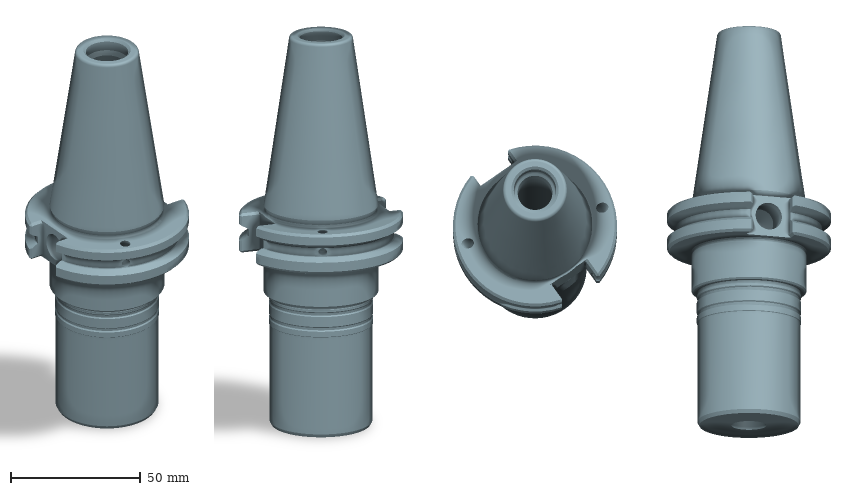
import cadquery as cq
import math

TOTAL_HEIGHT = 156.8
GAUGE_Z = 88.5
TAPER_NECK_Z = 86.6
FLANGE_TOP_Z = 85.5
FLANGE_THICKNESS = 15.8
COLLAR_NECK_Z = 69
COLLAR_NECK_BASE_Z = 68.5
COLLAR_TOP_Z = 67.9
COLLAR_BOTTOM_Z = 53.0
BAND_TOP_Z = 51.9
BAND_BOTTOM_Z = 40.6

TAPER_PER_LENGTH = 7 / 24
GAUGE_DIAMETER = 44.4
TAPER_NECK_DIAMETER = 43.3
TAPER_TIP_FILLET = 1.3

FLANGE_DIAMETER = 63.5
FLANGE_CHAMFER = 1.0
GROOVE_DIAMETER = 56.5
GROOVE_FLOOR_WIDTH = 3.3
GROOVE_SHELF_WIDTH = 0.8
GROOVE_HALF_ANGLE = 30
SLOT_WIDTH = 16.2
FRONT_SLOT_FLOOR = 25.0
BACK_SLOT_FLOOR = 22.5
SLOT_CORNER_FILLET = 0.5
DRILLING_DIAMETER = 10.7
DRILLING_DEPTH = 11
DRILLING_TIP_ANGLE = 118

COLLAR_DIAMETER = 44.5
COLLAR_NECK_DIAMETER = 43.8
COLLAR_CHAMFER = 0.6
BODY_DIAMETER = 40.0
BODY_CHAMFER_RADIAL = 0.8
BODY_CHAMFER_HEIGHT = 1.4
BAND_DIAMETER = 40.5
RING_GROOVE_DIAMETER = 39.5
UPPER_RING_GROOVE = (49.0, 50.8)
LOWER_RING_GROOVE = (43.0, 44.9)

BORE_DIAMETER = 13.5
COUNTERBORE_DIAMETER = 16.5
COUNTERBORE_DEPTH = 4.7
COUNTERBORE_CHAMFER = 1.0

COOLANT_HOLE_DIAMETER = 3.9
COOLANT_HOLE_TILT = 35
COOLANT_HOLE_RADIUS = 27.0
CROSS_HOLE_DIAMETER = 3.3
COOLANT_ANGLES = (160, 340)

FLANGE_BOTTOM_Z = FLANGE_TOP_Z - FLANGE_THICKNESS
GROOVE_CENTER_Z = FLANGE_TOP_Z - FLANGE_THICKNESS / 2


def revolve_profile(points):
    """Turn a closed outline of (radius, height) points about the Z axis."""
    return cq.Workplane("XZ").polyline(points).close().revolve(360, (0, 0), (0, 1))


def make_taper():
    gauge_radius = GAUGE_DIAMETER / 2
    tip_radius = gauge_radius - (TOTAL_HEIGHT - GAUGE_Z) * TAPER_PER_LENGTH / 2
    neck_radius = TAPER_NECK_DIAMETER / 2
    foot_radius = neck_radius + TAPER_NECK_Z - FLANGE_TOP_Z
    taper = (
        cq.Workplane("XZ")
        .moveTo(0, FLANGE_TOP_Z)
        .lineTo(foot_radius, FLANGE_TOP_Z)
        .radiusArc((neck_radius, TAPER_NECK_Z), foot_radius - neck_radius)
        .lineTo(gauge_radius, GAUGE_Z)
        .lineTo(tip_radius, TOTAL_HEIGHT)
        .lineTo(0, TOTAL_HEIGHT)
        .close()
        .revolve(360, (0, 0), (0, 1))
    )
    return taper.faces(">Z").edges().fillet(TAPER_TIP_FILLET)


def make_body():
    body_radius = BODY_DIAMETER / 2
    band_radius = BAND_DIAMETER / 2
    collar_radius = COLLAR_DIAMETER / 2
    neck_radius = COLLAR_NECK_DIAMETER / 2
    band_step = band_radius - body_radius
    ring_depth = band_radius - RING_GROOVE_DIAMETER / 2

    outline = [
        (0, 0),
        (body_radius - BODY_CHAMFER_RADIAL, 0),
        (body_radius, BODY_CHAMFER_HEIGHT),
        (body_radius, BAND_BOTTOM_Z),
        (band_radius, BAND_BOTTOM_Z + band_step),
    ]
    for bottom, top in (LOWER_RING_GROOVE, UPPER_RING_GROOVE):
        outline += [
            (band_radius, bottom),
            (band_radius - ring_depth, bottom + ring_depth),
            (band_radius - ring_depth, top - ring_depth),
            (band_radius, top),
        ]
    outline += [
        (band_radius, BAND_TOP_Z - band_step),
        (body_radius, BAND_TOP_Z),
        (body_radius, COLLAR_BOTTOM_Z),
        (collar_radius - COLLAR_CHAMFER, COLLAR_BOTTOM_Z),
        (collar_radius, COLLAR_BOTTOM_Z + COLLAR_CHAMFER),
        (collar_radius, COLLAR_TOP_Z),
        (neck_radius, COLLAR_NECK_BASE_Z),
        (neck_radius, COLLAR_NECK_Z),
        (collar_radius, FLANGE_BOTTOM_Z),
        (0, FLANGE_BOTTOM_Z),
    ]
    return revolve_profile(outline)


def drive_slot(floor_distance, side):
    """Block that opens one drive slot; side is -1 for the front slot and 1 for the back one."""
    slot_depth = FLANGE_DIAMETER / 2 - floor_distance
    return (
        cq.Workplane("XY", origin=(0, side * (floor_distance + slot_depth / 2), FLANGE_BOTTOM_Z))
        .box(SLOT_WIDTH, slot_depth, FLANGE_THICKNESS, centered=(True, True, False))
    )


def groove_ring():
    """Ring with the section of the V-groove, which has a flat shelf beside the lower end of its floor."""
    outer_radius = FLANGE_DIAMETER / 2
    floor_radius = GROOVE_DIAMETER / 2
    shelf_radius = floor_radius + GROOVE_SHELF_WIDTH
    floor_top = GROOVE_CENTER_Z + GROOVE_FLOOR_WIDTH / 2
    floor_bottom = GROOVE_CENTER_Z - GROOVE_FLOOR_WIDTH / 2
    slope = math.tan(math.radians(GROOVE_HALF_ANGLE))
    return revolve_profile([
        (floor_radius, floor_bottom),
        (shelf_radius, floor_bottom),
        (outer_radius, floor_bottom - (outer_radius - shelf_radius) * slope),
        (outer_radius, floor_top + (outer_radius - floor_radius) * slope),
        (floor_radius, floor_top),
    ])


def slot_drilling():
    """Blind hole with a conical end, drilled into the floor of the front slot."""
    radius = DRILLING_DIAMETER / 2
    tip_length = radius / math.tan(math.radians(DRILLING_TIP_ANGLE / 2))
    outline = [(0, 0), (radius, 0), (radius, DRILLING_DEPTH), (0, DRILLING_DEPTH + tip_length)]
    return (
        revolve_profile(outline)
        .rotate((0, 0, 0), (1, 0, 0), -90)
        .translate((0, -FRONT_SLOT_FLOOR, GROOVE_CENTER_Z))
    )


def make_flange():
    flange = (
        cq.Workplane("XY", origin=(0, 0, FLANGE_BOTTOM_Z))
        .circle(FLANGE_DIAMETER / 2)
        .extrude(FLANGE_THICKNESS)
        .cut(drive_slot(FRONT_SLOT_FLOOR, -1))
        .cut(drive_slot(BACK_SLOT_FLOOR, 1))
    )
    rims = flange.faces("|Z").edges(cq.selectors.RadiusNthSelector(-1))
    mouths = flange.faces("|Z").edges("|Y")
    slot_corners = flange.faces("|X").edges("|Z").edges("<Y or >Y")
    flange = flange.newObject(rims.vals() + mouths.vals() + slot_corners.vals()).chamfer(FLANGE_CHAMFER)
    floor_corners = cq.selectors.BoxSelector(
        (-SLOT_WIDTH, -FRONT_SLOT_FLOOR - SLOT_CORNER_FILLET, FLANGE_BOTTOM_Z),
        (SLOT_WIDTH, BACK_SLOT_FLOOR + SLOT_CORNER_FILLET, FLANGE_TOP_Z),
    )
    flange = flange.edges("|Z").edges(floor_corners).fillet(SLOT_CORNER_FILLET)
    return flange.cut(groove_ring()).cut(slot_drilling())


def axial_bore():
    bore_radius = BORE_DIAMETER / 2
    counterbore_radius = COUNTERBORE_DIAMETER / 2
    step_height = counterbore_radius - bore_radius
    counterbore_floor_z = TOTAL_HEIGHT - COUNTERBORE_DEPTH
    return revolve_profile([
        (0, 0),
        (bore_radius, 0),
        (bore_radius, counterbore_floor_z - step_height),
        (counterbore_radius, counterbore_floor_z),
        (counterbore_radius, TOTAL_HEIGHT - COUNTERBORE_CHAMFER),
        (counterbore_radius + COUNTERBORE_CHAMFER, TOTAL_HEIGHT),
        (0, TOTAL_HEIGHT),
    ])


def coolant_holes(angle):
    """Hole sloping inward from the flange top, and the radial hole from the groove that meets it."""
    tilt = math.radians(COOLANT_HOLE_TILT)
    drop = FLANGE_TOP_Z - GROOVE_CENTER_Z
    meeting_radius = COOLANT_HOLE_RADIUS - drop * math.tan(tilt)
    axis = cq.Vector(math.sin(tilt), 0, math.cos(tilt))
    meeting_point = cq.Vector(meeting_radius, 0, GROOVE_CENTER_Z)
    sloping = cq.Solid.makeCylinder(
        COOLANT_HOLE_DIAMETER / 2, 2 * drop / math.cos(tilt), meeting_point, axis
    )
    radial = cq.Solid.makeCylinder(
        CROSS_HOLE_DIAMETER / 2, FLANGE_DIAMETER / 2 - meeting_radius, meeting_point, cq.Vector(1, 0, 0)
    )
    return cq.Workplane(sloping).union(cq.Workplane(radial)).rotate((0, 0, 0), (0, 0, 1), angle)


result = make_taper().union(make_flange()).union(make_body()).cut(axial_bore())
for coolant_angle in COOLANT_ANGLES:
    result = result.cut(coolant_holes(coolant_angle))